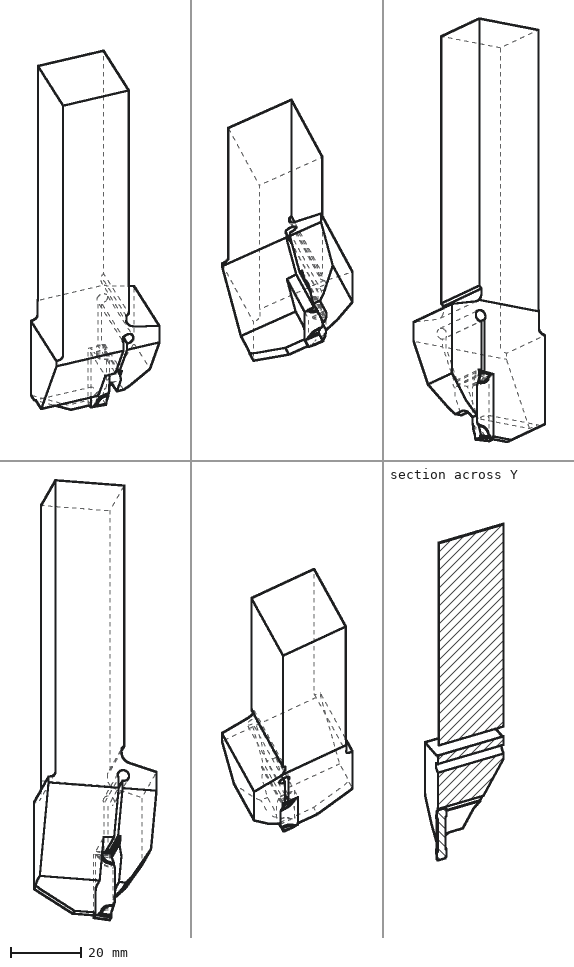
import cadquery as cq
import math

total_length = 125.0
shank_side = 20.0
shank_front = 2.0
shank_back = shank_front + shank_side

head_depth = 31.4
shoulder_angle = math.radians(15)
front_fillet = 1.5
back_fillet = 3.0
front_shoulder_z = 34.2
back_shoulder_z = 38.2
relief_depth = 0.8
relief_top_z = 45.4
head_front_low_z = 7.8
nose_y = 11.2
nose_z = 1.1
jaw_back_z = 17.6
jaw_bend_y = 26.6
jaw_bend_z = 10.2
jaw_tip_z = 6.5

head_side_offset = 0.31
head_step_bottom_z = 41.0
head_step_fillet = 1.5
taper_top_z = 32.5
taper_bottom_x = 7.9
blade_root_z = 8.6
blade_root_fillet = 2.0
blade_thickness = 2.4

slot_front = 20.4
slot_width = 1.1
slot_hole_radius = 1.6
slot_hole_y = 21.8
slot_hole_z = 36.4
seat_relief_back = 22.2
seat_relief_bottom_z = 18.5
seat_relief_top_z = 20.2

insert_length = 20.0
insert_front = 17.4
insert_back = 23.0
insert_tip_y = 22.0
insert_land_length = 1.5
insert_rake_length = 4.8
insert_end_relief = 0.31
cutting_width = 3.0
wing_front = 18.0
wing_arc_start = (19.0, 1.5)
wing_arc_middle = (19.6, 2.8)
wing_arc_end = (20.8, 3.5)
wing_height = 4.0
wing_flare = 50

blade_side = blade_thickness - head_side_offset
blade_middle = blade_side - blade_thickness / 2
head_low_x = -head_side_offset


def along_x(outline, start, end):
    """Extrude an outline of the YZ plane from X = start to X = end."""
    return outline.extrude(end - start).translate((start, 0, 0))


def shoulder_arc(root_y, corner_z, radius, outward):
    """Start, middle and end of a concave shoulder fillet, from the vertical wall to the slope.

    The wall at Y = root_y meets the slope at Z = corner_z; outward is the slope's Y direction.
    """
    sweep = math.pi / 2 - shoulder_angle
    centre_y = root_y + outward * radius
    centre_z = corner_z + radius * math.tan(sweep / 2)
    return [
        (centre_y - outward * radius * math.cos(turn), centre_z - radius * math.sin(turn))
        for turn in (0, sweep / 2, sweep)
    ]


def make_side_profile():
    """Shank and head as one outline seen along X, over the head's full width."""
    slope = math.tan(shoulder_angle)
    relief_y = shank_back - relief_depth
    front_corner_z = front_shoulder_z + shank_front * slope
    back_corner_z = back_shoulder_z + (head_depth - relief_y) * slope
    front_wall, front_middle, front_slope = shoulder_arc(shank_front, front_corner_z, front_fillet, -1)
    back_wall, back_middle, back_slope = shoulder_arc(relief_y, back_corner_z, back_fillet, 1)
    outline = (
        cq.Workplane("YZ")
        .moveTo(0, head_front_low_z)
        .lineTo(0, front_shoulder_z)
        .lineTo(*front_slope)
        .threePointArc(front_middle, front_wall)
        .lineTo(shank_front, total_length)
        .lineTo(shank_back, total_length)
        .lineTo(shank_back, relief_top_z)
        .lineTo(relief_y, relief_top_z - relief_depth)
        .lineTo(*back_wall)
        .threePointArc(back_middle, back_slope)
        .lineTo(head_depth, back_shoulder_z)
        .lineTo(head_depth, jaw_back_z)
        .lineTo(jaw_bend_y, jaw_bend_z)
        .lineTo(insert_back, jaw_tip_z)
        .lineTo(insert_front, jaw_tip_z)
        .lineTo(insert_front, nose_z)
        .lineTo(nose_y, nose_z)
        .close()
    )
    return along_x(outline, head_low_x, shank_side)


def make_front_profile():
    """Shank, tapered head and thin blade as one outline seen along Y."""
    step_height = math.sqrt(head_step_fillet**2 - (head_step_fillet - head_side_offset) ** 2)
    step_angle = math.asin(step_height / head_step_fillet) / 2
    step_top_z = head_step_bottom_z + step_height
    step_middle = (
        -head_step_fillet * (1 - math.cos(step_angle)),
        step_top_z - head_step_fillet * math.sin(step_angle),
    )
    root_middle = blade_root_fillet * (1 - math.sqrt(0.5))
    return (
        cq.Workplane("XZ")
        .moveTo(head_low_x, 0)
        .lineTo(head_low_x, head_step_bottom_z)
        .threePointArc(step_middle, (0, step_top_z))
        .lineTo(0, total_length)
        .lineTo(shank_side, total_length)
        .lineTo(shank_side, taper_top_z)
        .lineTo(taper_bottom_x, blade_root_z)
        .lineTo(blade_side + blade_root_fillet, blade_root_z)
        .threePointArc(
            (blade_side + root_middle, blade_root_z - root_middle),
            (blade_side, blade_root_z - blade_root_fillet),
        )
        .lineTo(blade_side, 0)
        .close()
        .extrude(-head_depth)
    )


def insert_outline():
    """Insert seen along X, with a sloped rake face at each end."""
    return cq.Workplane("YZ").polyline([
        (insert_front, insert_end_relief),
        (insert_tip_y, 0),
        (insert_tip_y, insert_land_length),
        (insert_back, insert_rake_length),
        (insert_back, insert_length - insert_rake_length),
        (insert_tip_y, insert_length - insert_land_length),
        (insert_tip_y, insert_length),
        (insert_front, insert_length - insert_end_relief),
    ]).close()


def yz_rectangle(front, back, bottom, top):
    """Rectangle in the YZ plane."""
    corners = [(front, bottom), (back, bottom), (back, top), (front, top)]
    return cq.Workplane("YZ").polyline(corners).close()


def make_holder():
    holder = make_side_profile().intersect(make_front_profile())
    slot_back = slot_front + slot_width
    openings = [
        cq.Workplane("YZ").center(slot_hole_y, slot_hole_z).circle(slot_hole_radius),
        yz_rectangle(slot_front, slot_back, insert_length / 2, slot_hole_z),
        yz_rectangle(slot_back, seat_relief_back, seat_relief_bottom_z, seat_relief_top_z),
        insert_outline(),
    ]
    for opening in openings:
        holder = holder.cut(along_x(opening, head_low_x, shank_side))
    return holder.solids()


def make_low_x_wing():
    """Raised wing on the -X side of the lower cutting head, with flared edges."""
    wing_rise = cutting_width / 2 - blade_thickness / 2
    wing_back = insert_back + wing_height
    return (
        cq.Workplane("YZ", origin=(head_low_x, 0, 0))
        .moveTo(wing_front, insert_end_relief)
        .lineTo(*wing_arc_start)
        .threePointArc(wing_arc_middle, wing_arc_end)
        .lineTo(insert_back, wing_height)
        .lineTo(wing_back, wing_height)
        .lineTo(wing_back, insert_end_relief)
        .close()
        .extrude(-wing_rise, taper=wing_flare)
    )


def make_insert():
    """Body as thick as the blade, with a wing on both sides of each cutting head."""
    insert = along_x(insert_outline(), head_low_x, blade_side)
    envelope = along_x(insert_outline(), blade_middle - cutting_width / 2, blade_middle + cutting_width / 2)
    lower_low = make_low_x_wing()
    lower_high = lower_low.mirror("YZ", (blade_middle, 0, 0))
    for wing in (lower_low, lower_high):
        upper_wing = wing.mirror("XY", (0, 0, insert_length / 2))
        insert = insert.union(wing.intersect(envelope)).union(upper_wing.intersect(envelope))
    return insert.solids()


holder = make_holder()
insert = make_insert()
result = cq.Compound.makeCompound([holder.val(), insert.val()])